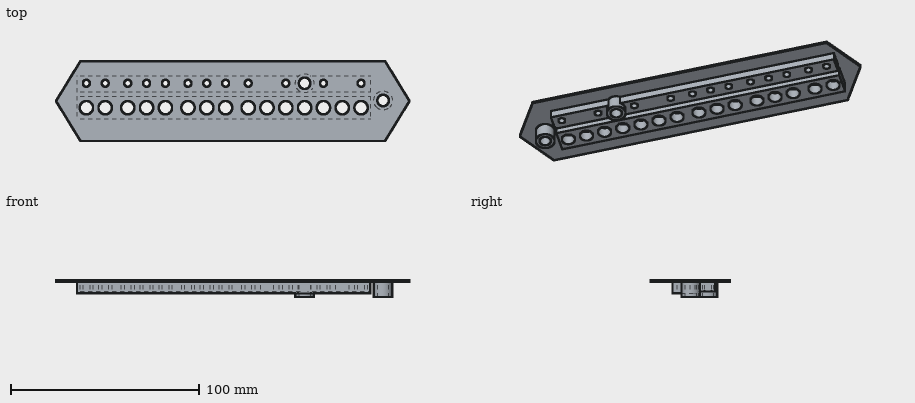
import cadquery as cq

plate_length = 188.0
plate_width = 42.5
plate_straight_length = 162.0
plate_thickness = 1.0

first_station_x = -77.8
hole_pitch = 10.0
group_step = 12.0
group_sizes = (2, 3, 3, 7)

front_row_y = -3.55
front_hole_diameter = 7.0
front_bar_width = 12.0
front_bar_bottom_z = -7.0

row_spacing = 13.0
rear_row_y = front_row_y + row_spacing
rear_hole_diameter = 3.6
rear_bar_width = 8.5
rear_bar_center_y = 9.0
rear_bar_bottom_z = -6.0
blank_rear_stations = (9, 13)
rear_boss_station = 11

bar_end_margin = 5.0

boss_diameter = 10.0
boss_hole_diameter = 6.0
boss_bottom_z = -9.0
tip_boss_x = 79.9
tip_boss_y = 0.3


def hole_stations():
    """X positions of the hole stations, from -X to +X."""
    stations = []
    group_start = first_station_x
    for size in group_sizes:
        for index in range(size):
            stations.append(group_start + index * hole_pitch)
        group_start = stations[-1] + group_step
    return stations


def make_plate():
    half_length = plate_length / 2
    half_width = plate_width / 2
    half_straight = plate_straight_length / 2
    outline = [
        (-half_length, 0),
        (-half_straight, half_width),
        (half_straight, half_width),
        (half_length, 0),
        (half_straight, -half_width),
        (-half_straight, -half_width),
    ]
    return cq.Workplane("XY").polyline(outline).close().extrude(-plate_thickness)


def make_bar(center_y, width, bottom_z):
    """Bar hanging from the plate along one row of holes."""
    start_x = stations[0] - bar_end_margin
    end_x = stations[-1] + bar_end_margin
    return (
        cq.Workplane("XY")
        .center((start_x + end_x) / 2, center_y)
        .rect(end_x - start_x, width)
        .extrude(bottom_z)
    )


def make_cylinders(centers, diameter, bottom_z):
    """Round bodies from the top face down to bottom_z."""
    return cq.Workplane("XY").pushPoints(centers).circle(diameter / 2).extrude(bottom_z)


stations = hole_stations()

front_hole_centers = [(x, front_row_y) for x in stations]
rear_hole_centers = [
    (x, rear_row_y)
    for index, x in enumerate(stations)
    if index not in blank_rear_stations and index != rear_boss_station
]
boss_centers = [(stations[rear_boss_station], rear_row_y), (tip_boss_x, tip_boss_y)]

body = make_plate()
body = body.union(make_bar(front_row_y, front_bar_width, front_bar_bottom_z))
body = body.union(make_bar(rear_bar_center_y, rear_bar_width, rear_bar_bottom_z))
body = body.union(make_cylinders(boss_centers, boss_diameter, boss_bottom_z))

body = body.cut(make_cylinders(front_hole_centers, front_hole_diameter, boss_bottom_z))
body = body.cut(make_cylinders(rear_hole_centers, rear_hole_diameter, boss_bottom_z))
body = body.cut(make_cylinders(boss_centers, boss_hole_diameter, boss_bottom_z))

result = body